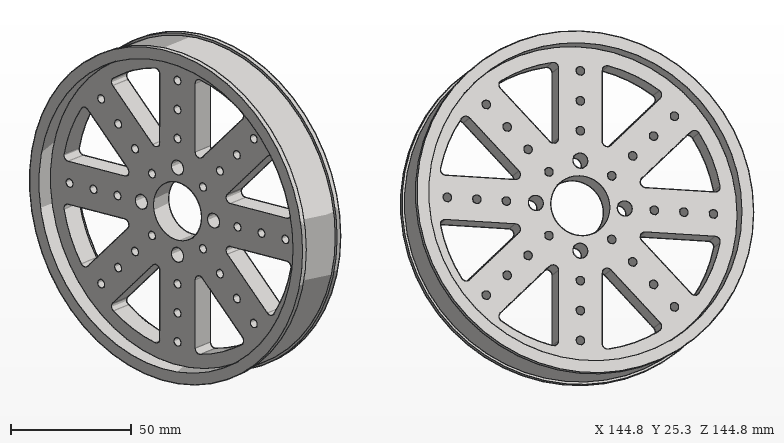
import cadquery as cq
import math

outer_diameter = 144.8
width = 25.3

flange_thickness = 2.5
groove_depth = 1.0
rim_inner_diameter = 134.6

web_thickness = 10.1
recess_depth = (width - web_thickness) / 2

spoke_count = 8
spoke_width = 18.8
window_outer_radius = 61.2
window_corner_radius = 2.2

bore_diameter = 25.3
first_hole_radius = 19.1
last_hole_radius = 57.2
holes_per_spoke = 4
hole_pitch = (last_hole_radius - first_hole_radius) / (holes_per_spoke - 1)
small_hole_diameter = 3.6
large_hole_diameter = 6.4

spoke_angle = 360 / spoke_count


def disc(diameter, start, length):
    """Cylinder on the Y axis running from y = start toward +Y."""
    plane = cq.Workplane("XZ", origin=(0, start, 0))
    return plane.circle(diameter / 2).extrude(-length)


def make_rim_and_web():
    """Flanged wheel body with a shallow recess in each face."""
    body = disc(outer_diameter - 2 * groove_depth, -width / 2, width)
    for flange_start in (-width / 2, width / 2 - flange_thickness):
        body = body.union(disc(outer_diameter, flange_start, flange_thickness))
    for recess_start in (-width / 2, width / 2 - recess_depth):
        body = body.cut(disc(rim_inner_diameter, recess_start, recess_depth))
    return body


def make_window():
    """Rounded sector-shaped opening between the +X spoke and the next one."""
    half_spoke = spoke_width / 2
    half_angle = math.radians(spoke_angle / 2)
    apex_radius = half_spoke / math.sin(half_angle)
    corner_angle = math.asin(half_spoke / window_outer_radius)

    def polar(radius, angle):
        return (radius * math.cos(angle), radius * math.sin(angle))

    return (
        cq.Workplane("XZ", origin=(0, -width / 2, 0))
        .moveTo(*polar(apex_radius, half_angle))
        .lineTo(*polar(window_outer_radius, corner_angle))
        .threePointArc(
            polar(window_outer_radius, half_angle),
            polar(window_outer_radius, 2 * half_angle - corner_angle),
        )
        .close()
        .extrude(-width)
        .edges("|Y")
        .fillet(window_corner_radius)
    )


def make_spoke_holes(innermost_diameter):
    """Row of holes along the +X spoke, the innermost with its own diameter."""
    holes = cq.Workplane("XZ")
    for index in range(holes_per_spoke):
        diameter = innermost_diameter if index == 0 else small_hole_diameter
        radius = first_hole_radius + index * hole_pitch
        holes = holes.add(disc(diameter, -width / 2, width).translate((radius, 0, 0)))
    return holes.combine()


def turned(shape, index):
    """Shape turned about the wheel axis by a number of spoke angles."""
    return shape.rotate((0, 0, 0), (0, 1, 0), index * spoke_angle)


result = make_rim_and_web().cut(disc(bore_diameter, -width / 2, width))

window = make_window()
for spoke in range(spoke_count):
    innermost = large_hole_diameter if spoke % 2 == 0 else small_hole_diameter
    result = result.cut(turned(window, spoke))
    result = result.cut(turned(make_spoke_holes(innermost), spoke))